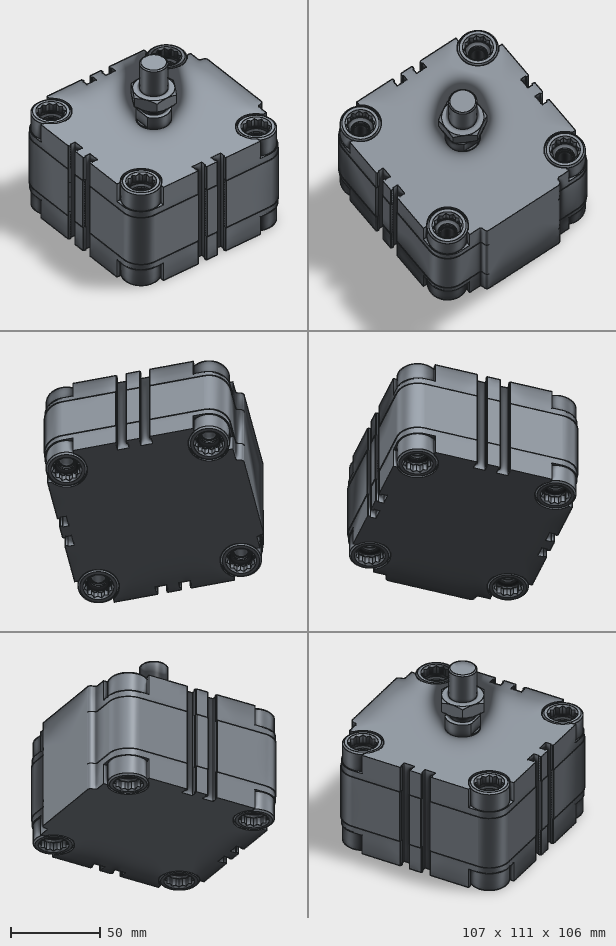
import cadquery as cq
import math

housing_height = 66.0
cover_height = 16.4
barrel_width = 107.0
barrel_depth = 107.0
cover_width = 106.3
cover_depth = 106.6
corner_radius = 12.4
barrel_height = housing_height - 2 * cover_height

total_depth = 111.0
ridge_top_y = total_depth - barrel_depth / 2
ridge_top_width = 51.5
ridge_base_width = 53.7
ridge_top_radius = 2.0
ridge_base_radius = 1.3

slot_spacing = 13.5
slot_neck_width = 5.3
slot_inner_width = 6.8
slot_lip_depth = 1.8
slot_floor_distance = 48.1
slot_lip_radius = 0.4

screw_spacing = 82.0
screw_diameter = 23.0
screw_height = 12.3
screw_chamfer = 1.0
pocket_diameter = 23.5
pocket_edge = 34.6
through_diameter = 8.3

socket_points = 12
socket_diameter = 16.0
socket_depth = 5.9
lead_in_diameter = 17.3
lead_in_depth = 1.3
lead_in_end_diameter = 14.2
relief_depth = 7.8
countersink_diameter = 10.8
countersink_depth = 0.5
pilot_diameter = 9.7
pilot_depth = 10.0

rod_diameter = 20.0
rod_insertion = cover_height
rod_shoulder_z = 74.0
rod_flat_width = 17.0
rod_flat_start_z = 66.8
neck_diameter = 14.2
thread_diameter = 16.0
thread_start_z = 77.0
thread_chamfer = 0.8
rod_top_z = 106.0

nut_across_flats = 24.0
nut_start_z = 79.9
nut_height = 8.0
nut_face_diameter = 23.8
nut_chamfer_angle = 30.0


def cylinder(diameter, start_z, end_z):
    return cq.Workplane("XY").workplane(offset=start_z).circle(diameter / 2).extrude(end_z - start_z)


def cone(start_diameter, end_diameter, start_z, end_z):
    solid = cq.Solid.makeCone(
        start_diameter / 2,
        end_diameter / 2,
        end_z - start_z,
        pnt=cq.Vector(0, 0, start_z),
    )
    return cq.Workplane(obj=solid)


def slot_cutter(wall_distance):
    """One slot in a wall that faces -Y at the given distance from the axis."""
    half_neck = slot_neck_width / 2
    half_inner = slot_inner_width / 2
    wall_y = -wall_distance
    floor_y = -slot_floor_distance
    outline = (
        cq.Workplane("XY")
        .moveTo(-half_neck - slot_lip_radius, wall_y)
        .radiusArc((-half_neck, wall_y + slot_lip_radius), slot_lip_radius)
        .lineTo(-half_neck, wall_y + slot_lip_depth)
        .lineTo(-half_inner, wall_y + slot_lip_depth)
        .lineTo(-half_inner, floor_y)
        .lineTo(half_inner, floor_y)
        .lineTo(half_inner, wall_y + slot_lip_depth)
        .lineTo(half_neck, wall_y + slot_lip_depth)
        .lineTo(half_neck, wall_y + slot_lip_radius)
        .radiusArc((half_neck + slot_lip_radius, wall_y), slot_lip_radius)
        .close()
    )
    return outline.extrude(housing_height)


def profile_section(width, depth, start_z, height):
    """A length of the slotted body outline with its ridge."""
    ridge = (
        cq.Workplane("XY")
        .moveTo(-ridge_base_width / 2, depth / 2)
        .lineTo(-ridge_top_width / 2, ridge_top_y)
        .lineTo(ridge_top_width / 2, ridge_top_y)
        .lineTo(ridge_base_width / 2, depth / 2)
        .lineTo(0, 0)
        .close()
        .extrude(height)
    )
    ridge = ridge.faces(">Y").edges("|Z").fillet(ridge_top_radius)
    section = cq.Workplane("XY").rect(width, depth).extrude(height)
    section = section.edges("|Z").fillet(corner_radius).union(ridge)
    for side in (-1, 1):
        corner_middle = (side * ridge_base_width / 2, depth / 2, height / 2)
        base_corner = cq.selectors.NearestToPointSelector(corner_middle)
        section = section.edges(base_corner).fillet(ridge_base_radius)
    for angle, wall_distance in ((0, depth / 2), (90, width / 2), (-90, width / 2)):
        for side in (-1, 1):
            slot = slot_cutter(wall_distance).translate((side * slot_spacing / 2, 0, 0))
            section = section.cut(slot.rotate((0, 0, 0), (0, 0, 1), angle))
    return section.translate((0, 0, start_z))


def pocket_cutter():
    """Recess for the upper screw of the +X +Y corner, open towards both outer sides."""
    start_z = housing_height - screw_height
    center = screw_spacing / 2
    size = total_depth / 2 - pocket_edge
    block = (
        cq.Workplane("XY")
        .box(size, size, screw_height, centered=False)
        .translate((pocket_edge, pocket_edge, start_z))
    )
    round_part = cylinder(pocket_diameter, start_z, housing_height)
    return block.union(round_part.translate((center, center, 0)))


def socket_cutter():
    """Opening in the top of a screw on the Z axis, with its bore down to half the housing height."""
    top = housing_height
    floor = top - relief_depth
    hexagon = (
        cq.Workplane("XY")
        .workplane(offset=top - socket_depth)
        .polygon(6, socket_diameter)
        .extrude(socket_depth)
    )
    star = hexagon.union(hexagon.rotate((0, 0, 0), (0, 0, 1), 360 / socket_points))
    return (
        star.union(cone(lead_in_end_diameter, lead_in_diameter, top - lead_in_depth, top))
        .union(cylinder(socket_diameter, floor, top - socket_depth))
        .union(cone(pilot_diameter, countersink_diameter, floor - countersink_depth, floor))
        .union(cylinder(pilot_diameter, top - pilot_depth, floor - countersink_depth))
        .union(cylinder(through_diameter, top / 2, top - pilot_depth))
    )


def at_screw_places(shape):
    """Copies of a shape on the Z axis, at the upper and lower end of every corner."""
    middle = (0, 0, housing_height / 2)
    half = screw_spacing / 2
    lower = shape.mirror("XY", middle)
    return [
        end.translate((x, y, 0)) for end in (shape, lower) for x in (-half, half) for y in (-half, half)
    ]


def make_housing():
    housing = (
        profile_section(barrel_width, barrel_depth, cover_height, barrel_height)
        .union(profile_section(cover_width, cover_depth, 0, cover_height))
        .union(profile_section(cover_width, cover_depth, housing_height - cover_height, cover_height))
    )
    pocket = pocket_cutter()
    for angle in (0, 90, 180, 270):
        upper = pocket.rotate((0, 0, 0), (0, 0, 1), angle)
        housing = housing.cut(upper).cut(upper.mirror("XY", (0, 0, housing_height / 2)))

    screw = cylinder(screw_diameter, housing_height - screw_height, housing_height)
    for placed in at_screw_places(screw.faces(">Z").chamfer(screw_chamfer)):
        housing = housing.union(placed)
    for placed in at_screw_places(socket_cutter()):
        housing = housing.cut(placed)
    return housing.cut(cylinder(rod_diameter, housing_height - rod_insertion, housing_height))


def make_rod():
    collar = cylinder(rod_diameter, housing_height - rod_insertion, rod_shoulder_z)
    flat_height = rod_shoulder_z - rod_flat_start_z
    for side in (-1, 1):
        flat = (
            cq.Workplane("XY")
            .box(rod_diameter, rod_diameter, flat_height, centered=(True, True, False))
            .translate((0, side * (rod_flat_width + rod_diameter) / 2, rod_flat_start_z))
        )
        collar = collar.cut(flat)
    neck = cylinder(neck_diameter, rod_shoulder_z, thread_start_z)
    thread = cylinder(thread_diameter, thread_start_z, rod_top_z).faces("<Z or >Z").chamfer(thread_chamfer)
    return collar.union(neck).union(thread)


def make_nut():
    across_corners = nut_across_flats / math.cos(math.pi / 6)
    end_z = nut_start_z + nut_height
    hexagon = (
        cq.Workplane("XY")
        .workplane(offset=nut_start_z)
        .polygon(6, across_corners)
        .extrude(nut_height)
        .rotate((0, 0, 0), (0, 0, 1), 90)
    )
    radial = (across_corners - nut_face_diameter) / 2
    axial = radial * math.tan(math.radians(nut_chamfer_angle))
    turned = cylinder(across_corners, nut_start_z, end_z).faces("<Z or >Z").chamfer(axial, radial)
    return hexagon.intersect(turned).cut(cylinder(thread_diameter, nut_start_z, end_z))


housing = make_housing()
rod = make_rod()
nut = make_nut()

result = cq.Compound.makeCompound([housing.val(), rod.val(), nut.val()])